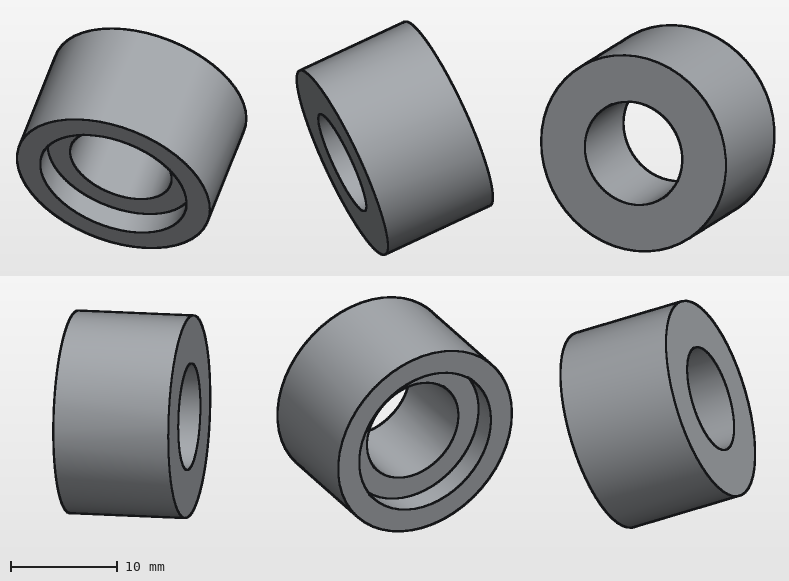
import cadquery as cq

outer_diameter = 19.0
length = 11.0
bore_diameter = 10.0
counterbore_diameter = 14.4
counterbore_depth = 2.25


def cylinder_from_front(diameter, depth):
    """Cylinder along +Y that starts at the front (-Y) end face."""
    front_plane = cq.Workplane("XZ", origin=(0, -length / 2, 0))
    return front_plane.circle(diameter / 2).extrude(-depth)


body = cylinder_from_front(outer_diameter, length)
bore = cylinder_from_front(bore_diameter, length)
counterbore = cylinder_from_front(counterbore_diameter, counterbore_depth)

result = body.cut(bore).cut(counterbore)